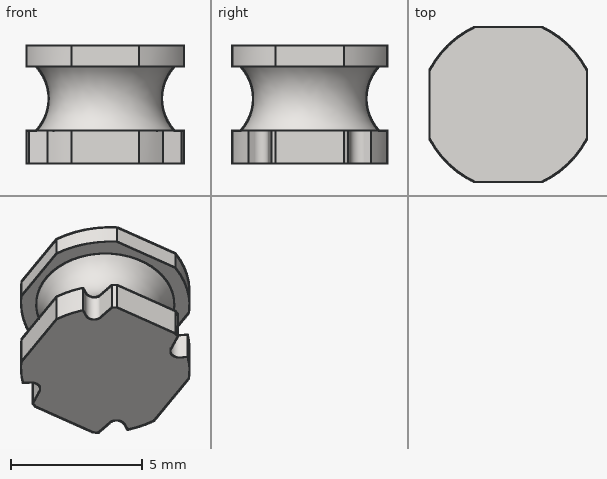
import cadquery as cq

length_x = 6.0
width_y = 5.9
flat_half_x = 1.285
flat_half_y = 1.295
corner_mid = (2.24, 2.3)

total_height = 4.5
base_height = 1.26
top_thickness = 0.81
top_bottom_z = total_height - top_thickness

core_end_radius = 2.63
core_waist_radius = 2.16

notch_side_start = (2.93, 1.46)
notch_side_end = (2.2, 1.57)
notch_root = (1.97, 1.83)
notch_lip_start = (2.045, 2.11)
notch_lip_end = (2.215, 2.345)
notch_clearance = (3.6, 3.0)


def make_flange(bottom_z, thickness):
    """Plate with four flat sides and four arc corners."""
    half_x = length_x / 2
    half_y = width_y / 2
    mid_x, mid_y = corner_mid
    return (
        cq.Workplane("XY", origin=(0, 0, bottom_z))
        .moveTo(flat_half_x, half_y)
        .threePointArc((mid_x, mid_y), (half_x, flat_half_y))
        .lineTo(half_x, -flat_half_y)
        .threePointArc((mid_x, -mid_y), (flat_half_x, -half_y))
        .lineTo(-flat_half_x, -half_y)
        .threePointArc((-mid_x, -mid_y), (-half_x, -flat_half_y))
        .lineTo(-half_x, flat_half_y)
        .threePointArc((-mid_x, mid_y), (-flat_half_x, half_y))
        .close()
        .extrude(thickness)
    )


def make_core():
    """Revolved neck with a concave side, between the two flanges."""
    waist_z = (base_height + top_bottom_z) / 2
    return (
        cq.Workplane("XZ")
        .moveTo(0, base_height)
        .lineTo(core_end_radius, base_height)
        .threePointArc((core_waist_radius, waist_z), (core_end_radius, top_bottom_z))
        .lineTo(0, top_bottom_z)
        .close()
        .revolve(360, (0, 0, 0), (0, 1, 0))
    )


def make_notch(sign_x, sign_y):
    """Round-bottomed corner notch through the base, in the chosen quadrant."""
    def place(point):
        return (sign_x * point[0], sign_y * point[1])

    clear_x, clear_y = notch_clearance
    wall_slope = (notch_side_end[1] - notch_side_start[1]) / (notch_side_end[0] - notch_side_start[0])
    side_outer = (clear_x, notch_side_start[1] + wall_slope * (clear_x - notch_side_start[0]))

    lip_run = (notch_lip_end[0] - notch_lip_start[0]) / (notch_lip_end[1] - notch_lip_start[1])
    lip_outer = (notch_lip_end[0] + lip_run * (clear_y - notch_lip_end[1]), clear_y)

    return (
        cq.Workplane("XY")
        .moveTo(*place(side_outer))
        .lineTo(*place(notch_side_end))
        .threePointArc(place(notch_root), place(notch_lip_start))
        .lineTo(*place(lip_outer))
        .lineTo(*place(notch_clearance))
        .close()
        .extrude(base_height)
    )


base = make_flange(0, base_height)
for sign_x in (-1, 1):
    for sign_y in (-1, 1):
        base = base.cut(make_notch(sign_x, sign_y))

result = base.union(make_core()).union(make_flange(top_bottom_z, top_thickness))